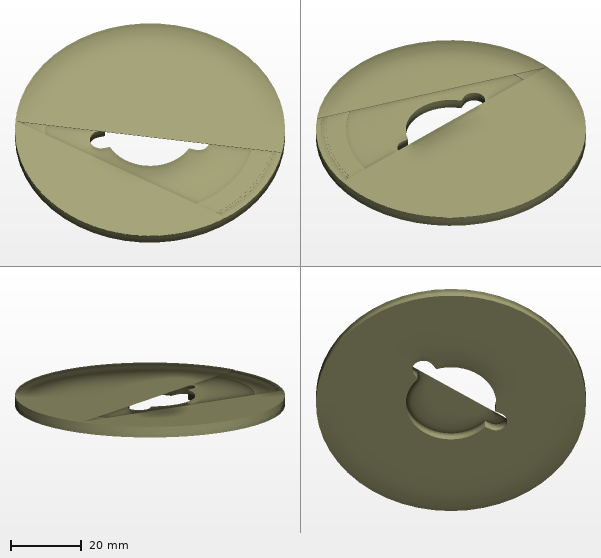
import cadquery as cq
import math

DISC_DIAMETER = 76.2
TOTAL_HEIGHT = 3.1
FILM_THICKNESS = 0.15
DISC_THICKNESS = TOTAL_HEIGHT - FILM_THICKNESS

LEDGE_DEPTH = 0.1
GROOVE_DEPTH = 2 * LEDGE_DEPTH
CENTRE_RECESS_DEPTH = GROOVE_DEPTH
GROOVE_OUTER_DIAMETER = 73.7
GROOVE_INNER_DIAMETER = 71.55
LEDGE_INNER_DIAMETER = 70.2
CENTRE_RECESS_DIAMETER = 59.2

CENTRE_HOLE_DIAMETER = 25.5
SLOT_WIDTH = 6.25
SLOT_END_RADIUS = 14.25
SLOT_ANGLES = (0, 210)

WINDOW_APEX = (-36.95, -7.7)
WINDOW_UPPER_ANGLE = 7.8
WINDOW_LOWER_ANGLE = -14.0
WINDOW_SIDE = 1.2 * DISC_DIAMETER


def ring_groove(outer_diameter, inner_diameter, depth):
    """Annular cutter reaching the given depth below the top of the disc."""
    floor = cq.Workplane("XY").workplane(offset=DISC_THICKNESS - depth)
    return floor.circle(outer_diameter / 2).circle(inner_diameter / 2).extrude(depth)


def round_recess(diameter, depth):
    """Round cutter reaching the given depth below the top of the disc."""
    floor = cq.Workplane("XY").workplane(offset=DISC_THICKNESS - depth)
    return floor.circle(diameter / 2).extrude(depth)


def radial_slot(angle):
    """Round-ended slot running from the disc centre out along the angle."""
    arm = cq.Workplane("XY").center(SLOT_END_RADIUS / 2, 0).rect(SLOT_END_RADIUS, SLOT_WIDTH)
    end = cq.Workplane("XY").center(SLOT_END_RADIUS, 0).circle(SLOT_WIDTH / 2)
    slot = arm.extrude(DISC_THICKNESS).union(end.extrude(DISC_THICKNESS))
    return slot.rotate((0, 0, 0), (0, 0, 1), angle)


def make_disc():
    """Round base with the keyed opening, the stepped ring groove and the centre recess."""
    disc = cq.Workplane("XY").circle(DISC_DIAMETER / 2).extrude(DISC_THICKNESS)
    disc = disc.cut(cq.Workplane("XY").circle(CENTRE_HOLE_DIAMETER / 2).extrude(DISC_THICKNESS))
    for angle in SLOT_ANGLES:
        disc = disc.cut(radial_slot(angle))
    disc = disc.cut(ring_groove(GROOVE_OUTER_DIAMETER, GROOVE_INNER_DIAMETER, GROOVE_DEPTH))
    disc = disc.cut(ring_groove(GROOVE_INNER_DIAMETER, LEDGE_INNER_DIAMETER, LEDGE_DEPTH))
    return disc.cut(round_recess(CENTRE_RECESS_DIAMETER, CENTRE_RECESS_DEPTH))


def window_corner(angle):
    """Far end of the window side that leaves the apex at the angle."""
    direction = math.radians(angle)
    return (
        WINDOW_APEX[0] + WINDOW_SIDE * math.cos(direction),
        WINDOW_APEX[1] + WINDOW_SIDE * math.sin(direction),
    )


def make_film():
    """Thin round sheet on the disc, with the wedge-shaped window cut out."""
    sheet = cq.Workplane("XY").workplane(offset=DISC_THICKNESS)
    film = sheet.circle(DISC_DIAMETER / 2).extrude(FILM_THICKNESS)
    corners = [WINDOW_APEX, window_corner(WINDOW_LOWER_ANGLE), window_corner(WINDOW_UPPER_ANGLE)]
    return film.cut(sheet.polyline(corners).close().extrude(FILM_THICKNESS))


disc = make_disc()
film = make_film()
result = cq.Compound.makeCompound([disc.val(), film.val()])